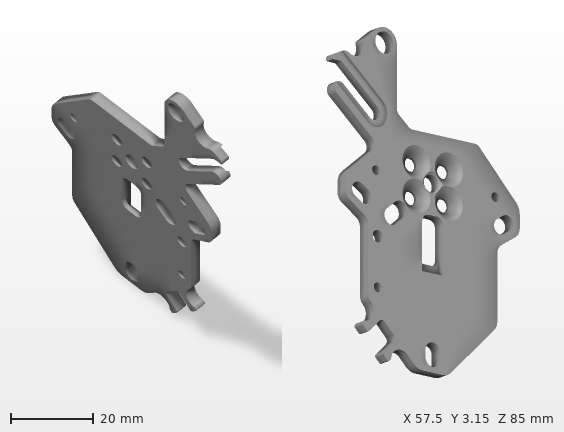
import cadquery as cq
import math


thickness = 3.15

ear_half_width = 27.0
body_half_width = 20.1
body_top = 12.4
body_bottom = -48.2
bottom_half_width = 4.7
ear_slope = 33.0
ear_waist = -12.7
left_shoulder_slope = 46.5
left_shoulder_start = -1.4
right_shoulder_slope = 40.4
right_shoulder_start = -2.2
shoulder_radius = 4.0
ear_radius = 3.0
waist_radius = 3.0
small_radius = 2.0
body_corner_radius = 3.0
bottom_corner_radius = 4.0

eye_x = 15.0
eye_z = 32.9
eye_diameter = 5.6
head_radius = 3.9
brow_slope = 40.0
neck_foot_x = 6.9
neck_slope = 40.0
throat_x = 24.2
throat_z = 30.8
brow_cusp_direction = 150.0
beak_cusp_direction = -30.0
notch_radius = 3.0
beak_base_z = 30.3
beak_tip_x = 30.5
beak_slope = 26.0
beak_bottom = 26.0
beak_tip_radius = 0.7
beak_lower_radius = 0.25
beak_corner_radius = 1.0
brow_cusp_radius = 1.0
crest_radius = 2.0

arm_angle = 40.6
slit_x = 17.8
slit_z = 14.9
slit_width = 3.9
arm_width = 3.9
arm_reach = 10.6
channel_width = 2 * slit_width
channel_depth = 0.7

fork_axis_offset = -18.4
fork_overlap = 1.7
fork_gap_half_width = 3.15
fork_half_width = 5.9
fork_notch_offset = 8.0
fork_length = 6.2
fork_gap_radius = 1.2
fork_tip_radius = 0.5
fork_cusp_radius = 0.3

pivot_diameter = 4.4
pivot_chamfer = 0.7
bolt_diameter = 3.5
bolt_x = 5.0
bolt_z = 4.25
countersink_diameter = 8.7
countersink_depth = 2.4
pin_diameter = 2.5
left_pin_x = -19.5
right_pin_x = 17.5
side_hole_x = 17.0
upper_side_hole_z = -16.7
upper_side_hole_diameter = 3.15
lower_side_hole_z = -29.7
lower_side_hole_diameter = 2.5

ear_slot_x = 22.0
ear_slot_z = -6.55
ear_slot_width = 4.0
ear_slot_travel = 2.3
inner_slot_x = 11.5
inner_slot_z = -9.7
inner_slot_width = 4.4
inner_slot_travel = 3.3
inner_slot_angle = -40.0
bottom_slot_z = -43.6
bottom_slot_width = 4.4
bottom_slot_travel = 1.8
window_z = -14.4
window_width = 6.5
window_height = 12.1
window_radius = 2.0
window_lip = 1.3
window_relief_length = 2.55


def local_point(origin, angle, along, across):
    """Point at the given distances along and to the left of a slanted direction."""
    c = math.cos(math.radians(angle))
    s = math.sin(math.radians(angle))
    return (origin[0] + along * c - across * s, origin[1] + along * s + across * c)


def meet(first, first_angle, second, second_angle):
    """Crossing of two lines, each given by a point and an angle in degrees."""
    a = math.radians(first_angle)
    b = math.radians(second_angle)
    dx = second[0] - first[0]
    dz = second[1] - first[1]
    along = (dx * math.sin(b) - dz * math.cos(b)) / math.sin(b - a)
    return local_point(first, first_angle, along, 0)


def corner_arc(before, corner, after, radius):
    """Start, middle and end of the arc that rounds one corner."""
    point = cq.Vector(*corner)
    back = (cq.Vector(*before) - point).normalized()
    ahead = (cq.Vector(*after) - point).normalized()
    half_angle = back.getAngle(ahead) / 2
    setback = radius / math.tan(half_angle)
    bulge = radius / math.sin(half_angle) - radius
    middle = point + (back + ahead).normalized() * bulge
    return [(p.x, p.y) for p in (point + back * setback, middle, point + ahead * setback)]


def rounded_plate(corners):
    """Plate whose outline is a list of (point, corner radius); radius 0 stays sharp."""
    points = [point for point, radius in corners]
    shortest_line = 8.5e-07
    outline = None
    for i, (point, radius) in enumerate(corners):
        after = points[(i + 1) % len(points)]
        arc = corner_arc(points[i - 1], point, after, radius) if radius else [point]
        if outline is None:
            outline = cq.Workplane("XZ").moveTo(*arc[0])
        elif math.dist(arc[0], last) > shortest_line:
            outline = outline.lineTo(*arc[0])
        if radius:
            outline = outline.threePointArc(arc[1], arc[2])
        last = arc[-1]
    return outline.close().extrude(-thickness)


def round_hole(x, z, diameter):
    return cq.Workplane("XZ").center(x, z).circle(diameter / 2).extrude(-thickness)


def slot(x, z, width, travel, angle):
    return cq.Workplane("XZ").center(x, z).slot2D(travel + width, width, angle).extrude(-thickness)


def flared_hole(x, z, diameter, back_diameter, flare_depth):
    """Round hole that widens as a cone toward the back face."""
    cone = (
        cq.Workplane("XZ", origin=(x, thickness - flare_depth, z))
        .circle(diameter / 2)
        .workplane(offset=-flare_depth)
        .circle(back_diameter / 2)
        .loft()
    )
    return round_hole(x, z, diameter).union(cone)


def round_edge(body, point, radius):
    """Round the through-thickness edge closest to a point."""
    target = (point[0], thickness / 2, point[1])
    return body.edges("|Y").edges(cq.selectors.NearestToPointSelector(target)).fillet(radius)


def body_with_head():
    waist_rise = (ear_half_width - body_half_width) * math.tan(math.radians(ear_slope))
    ear_bottom = ear_waist + waist_rise
    chamfer_top = body_bottom + body_half_width - bottom_half_width

    left_shoulder = (-ear_half_width, left_shoulder_start)
    right_shoulder = (ear_half_width, right_shoulder_start)
    top_left = meet(left_shoulder, left_shoulder_slope, (0, body_top), 0)

    head_left = eye_x - head_radius
    neck_foot = (neck_foot_x, body_top)
    neck_top = meet(neck_foot, neck_slope, (head_left, 0), 90)
    head_top = eye_z + head_radius
    brow_point = local_point((eye_x, eye_z), -brow_slope, 0, head_radius)
    head_corner = meet(brow_point, -brow_slope, (0, head_top), 0)
    throat = meet(brow_point, -brow_slope, (throat_x, beak_base_z), -beak_slope)
    beak_top = meet(throat, -beak_slope, (beak_tip_x, 0), 90)

    slit = (slit_x, slit_z)
    slit_end_radius = slit_width / 2
    arm_end_radius = arm_width / 2
    arm_bottom = -slit_end_radius - arm_width
    arm_end = arm_reach + arm_end_radius
    slit_mouth = meet(local_point(slit, arm_angle, 0, slit_end_radius), arm_angle, (0, beak_bottom), 0)
    arm_root = meet(local_point(slit, arm_angle, 0, arm_bottom), arm_angle,
                    right_shoulder, -right_shoulder_slope)

    return rounded_plate([
        (left_shoulder, shoulder_radius),
        (top_left, small_radius),
        (neck_foot, small_radius),
        (neck_top, small_radius),
        ((head_left, head_top), head_radius),
        (head_corner, head_radius),
        (throat, 0),
        (beak_top, beak_tip_radius),
        ((beak_tip_x, beak_bottom), beak_lower_radius),
        (slit_mouth, beak_corner_radius),
        (local_point(slit, arm_angle, -slit_end_radius, slit_end_radius), slit_end_radius),
        (local_point(slit, arm_angle, -slit_end_radius, -slit_end_radius), slit_end_radius),
        (local_point(slit, arm_angle, arm_end, -slit_end_radius), arm_end_radius),
        (local_point(slit, arm_angle, arm_end, arm_bottom), arm_end_radius),
        (arm_root, small_radius),
        (right_shoulder, shoulder_radius),
        ((ear_half_width, ear_bottom), ear_radius),
        ((body_half_width, ear_waist), waist_radius),
        ((body_half_width, chamfer_top), body_corner_radius),
        ((bottom_half_width, body_bottom), bottom_corner_radius),
        ((-bottom_half_width, body_bottom), bottom_corner_radius),
        ((-body_half_width, chamfer_top), body_corner_radius),
        ((-body_half_width, ear_waist), waist_radius),
        ((-ear_half_width, ear_bottom), ear_radius),
    ])


def add_throat_notch(body):
    """Round bite between brow and beak, with both cusps softened."""
    body = body.cut(round_hole(throat_x, throat_z, 2 * notch_radius))
    brow_cusp = local_point((throat_x, throat_z), brow_cusp_direction, notch_radius, 0)
    beak_cusp = local_point((throat_x, throat_z), beak_cusp_direction, notch_radius, 0)
    body = round_edge(body, brow_cusp, brow_cusp_radius)
    return round_edge(body, beak_cusp, crest_radius)


def recess_slit(body):
    """Shallow wider channel along the slit, sunk into the back face and open at the mouth."""
    channel_length = 2 * arm_reach
    middle = local_point((slit_x, slit_z), arm_angle, channel_length / 2, 0)
    channel = (
        cq.Workplane("XZ", origin=(middle[0], thickness, middle[1]))
        .slot2D(channel_length + channel_width, channel_width, arm_angle)
        .extrude(channel_depth)
    )
    return body.cut(channel)


def add_fork(body):
    """Two prongs standing square on the lower right 45 degree chamfer."""
    chamfer_normal = -45

    fork_base_distance = (bottom_half_width - body_bottom) / math.sqrt(2)
    base = local_point((0, 0), chamfer_normal, fork_base_distance, fork_axis_offset)

    def at(along, across):
        return local_point(base, chamfer_normal, along, across)

    wide = fork_notch_offset
    narrow = fork_half_width
    block = rounded_plate([
        (at(-fork_overlap, -wide), 0),
        (at(notch_radius, -wide), 0),
        (at(notch_radius, -narrow), 0),
        (at(fork_length, -narrow), fork_tip_radius),
        (at(fork_length, narrow), fork_tip_radius),
        (at(notch_radius, narrow), 0),
        (at(notch_radius, wide), 0),
        (at(-fork_overlap, wide), 0),
    ])
    gap_end = fork_length + fork_overlap
    gap = rounded_plate([
        (at(0, -fork_gap_half_width), fork_gap_radius),
        (at(0, fork_gap_half_width), fork_gap_radius),
        (at(gap_end, fork_gap_half_width), 0),
        (at(gap_end, -fork_gap_half_width), 0),
    ])
    body = body.union(block).cut(gap)
    for side in (-1, 1):
        body = body.cut(round_hole(*at(notch_radius, side * wide), 2 * notch_radius))
    cusp_drop = math.sqrt(notch_radius ** 2 - (wide - narrow) ** 2)
    for side in (-1, 1):
        body = round_edge(body, at(fork_length, side * fork_gap_half_width), fork_tip_radius)
        body = round_edge(body, at(notch_radius + cusp_drop, side * narrow), fork_cusp_radius)
    return body


def window():
    """Rounded rectangle that reaches further down behind a thin front lip."""
    opening = cq.Workplane("XZ").center(0, window_z).rect(window_width, window_height).extrude(-thickness)
    opening = opening.edges("|Y").fillet(window_radius)
    relief_height = window_height / 2 + window_relief_length
    relief = (
        cq.Workplane("XZ", origin=(0, thickness, window_z - relief_height / 2))
        .rect(window_width, relief_height)
        .extrude(thickness - window_lip)
    )
    return opening.union(relief)


def cut_openings(body):
    openings = [
        flared_hole(0, 0, pivot_diameter, pivot_diameter + 2 * pivot_chamfer, pivot_chamfer),
        round_hole(eye_x, eye_z, eye_diameter),
        round_hole(left_pin_x, 0, pin_diameter),
        round_hole(right_pin_x, 0, pin_diameter),
        round_hole(side_hole_x, upper_side_hole_z, upper_side_hole_diameter),
        round_hole(side_hole_x, lower_side_hole_z, lower_side_hole_diameter),
        slot(inner_slot_x, inner_slot_z, inner_slot_width, inner_slot_travel, inner_slot_angle),
        slot(0, bottom_slot_z, bottom_slot_width, bottom_slot_travel, 90),
    ]
    for side in (-1, 1):
        openings.append(slot(side * ear_slot_x, ear_slot_z, ear_slot_width,
                             ear_slot_travel, side * ear_slope))
        for level in (-1, 1):
            openings.append(flared_hole(side * bolt_x, level * bolt_z, bolt_diameter,
                                        countersink_diameter, countersink_depth))
    openings.append(window())
    for opening in openings:
        body = body.cut(opening)
    return body


result = body_with_head()
result = add_throat_notch(result)
result = recess_slit(result)
result = add_fork(result)
result = cut_openings(result)